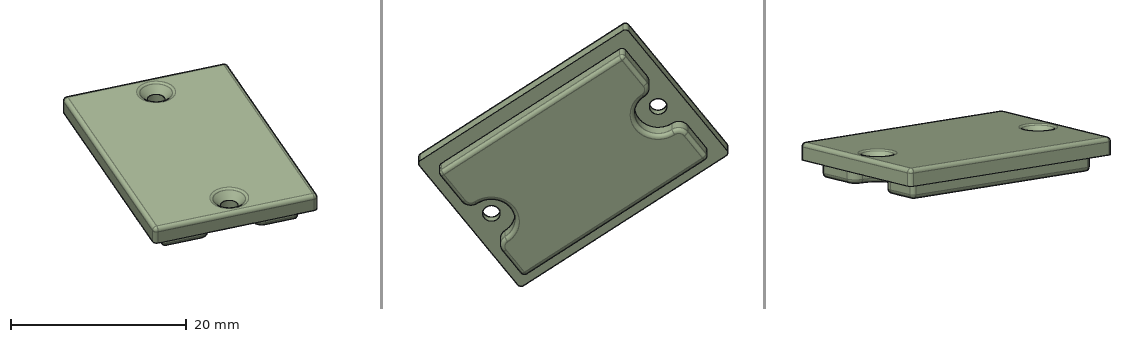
import cadquery as cq

length = 29.5
width = 20.0
total_height = 4.0
plate_thickness = 2.05
edge_radius = 0.5

boss_inset = 1.7
boss_height = total_height - plate_thickness
boss_length = length - 2 * boss_inset
boss_width = width - 2 * boss_inset

hole_end_distance = 3.0
hole_x = length / 2 - hole_end_distance
hole_y = 0.3
hole_diameter = 2.0
sink_diameter = 4.0
sink_angle = 90

notch_radius = 2.68
notch_mouth_radius = 1.27

hole_centres = [(-hole_x, hole_y), (hole_x, hole_y)]


def make_plate():
    """Rounded plate with its underside at Z = 0."""
    plate = cq.Workplane("XY").box(length, width, plate_thickness, centered=(True, True, False))
    return plate.edges("|Z or >Z").fillet(edge_radius)


def make_boss():
    """Rounded boss below the plate, with a round notch at each end."""
    boss = cq.Workplane("XY").box(boss_length, boss_width, boss_height, centered=(True, True, False))
    boss = boss.translate((0, 0, -boss_height))
    boss = boss.edges("|Z").fillet(edge_radius)
    notches = (
        cq.Workplane("XY").pushPoints(hole_centres).circle(notch_radius).extrude(-boss_height)
    )
    boss = boss.cut(notches)
    mouth_edges = cq.selectors.BoxSelector(
        (-length, hole_y - notch_radius, -boss_height),
        (length, hole_y + notch_radius, 0),
    )
    boss = boss.edges("|Z").edges(mouth_edges).fillet(notch_mouth_radius)
    return boss.faces("<Z").edges().fillet(edge_radius)


def cut_screw_holes(plate):
    """Cut both countersunk holes and round their top rims."""
    plate = (
        plate.faces(">Z").workplane(origin=(0, 0, 0)).pushPoints(hole_centres)
        .cskHole(hole_diameter, sink_diameter, sink_angle, plate_thickness)
    )
    rims = plate.faces(">Z").edges("%CIRCLE")
    return rims.fillet(edge_radius)


result = cut_screw_holes(make_plate()).union(make_boss())